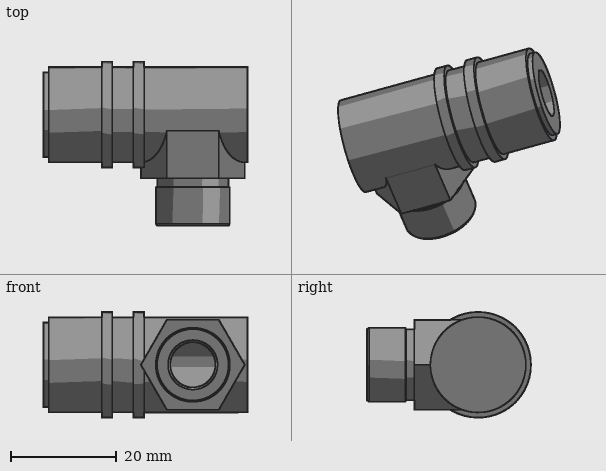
import cadquery as cq
import math


overall_length = 38.5
barrel_diameter = 18.0
flange_diameter = 20.0
flange_width = 2.0
flange_starts = [11.0, 16.98]
port_station = 28.2

sleeve_diameter = 16.0
sleeve_bore_diameter = 9.0
sleeve_protrusion = 0.95

hex_across_flats = 16.98
hex_face_distance = 12.0
neck_diameter = 13.48
neck_end_distance = 13.6
spigot_diameter = 14.0
spigot_end_distance = 21.0
spigot_shoulder_length = 0.15
spigot_chamfer_length = 0.42
spigot_chamfer_depth = 0.27

bore_diameter = 8.5
port_mouth_diameter = 9.35
countersink_depth = 0.25

open_end_x = -port_station
barrel_start_x = open_end_x + sleeve_protrusion
closed_end_x = open_end_x + overall_length

hex_across_corners = hex_across_flats / math.cos(math.pi / 6)

sleeve_end_x = open_end_x + flange_starts[0]


def axial_cylinder(diameter, start_x, end_x):
    """Cylinder on the barrel axis."""
    return cq.Workplane("YZ", origin=(start_x, 0, 0)).circle(diameter / 2).extrude(end_x - start_x)


def port_plane(distance):
    """Workplane facing -Y, at a distance from the barrel axis along the port."""
    return cq.Workplane("XZ", origin=(0, -distance, 0))


def make_barrel():
    barrel = axial_cylinder(barrel_diameter, barrel_start_x, closed_end_x)
    for start in flange_starts:
        flange_x = open_end_x + start
        barrel = barrel.union(axial_cylinder(flange_diameter, flange_x, flange_x + flange_width))
    return barrel


def make_port():
    """Hexagon, then a neck and a spigot with sloped ends, standing out from the barrel."""
    hexagon = port_plane(0).polygon(6, hex_across_corners).extrude(hex_face_distance)
    neck_radius = neck_diameter / 2
    spigot_radius = spigot_diameter / 2
    neck_and_spigot = (
        cq.Workplane("XY")
        .moveTo(0, -hex_face_distance)
        .lineTo(neck_radius, -hex_face_distance)
        .lineTo(neck_radius, -neck_end_distance)
        .lineTo(spigot_radius, -neck_end_distance - spigot_shoulder_length)
        .lineTo(spigot_radius, -spigot_end_distance + spigot_chamfer_length)
        .lineTo(spigot_radius - spigot_chamfer_depth, -spigot_end_distance)
        .lineTo(0, -spigot_end_distance)
        .close()
        .revolve(360, (0, 0, 0), (0, 1, 0))
    )
    return hexagon.union(neck_and_spigot)


def make_elbow_bore():
    """Round passage with a mitred corner, from the sleeve pocket to the port."""
    path = cq.Workplane("XY").polyline([(sleeve_end_x, 0), (0, 0), (0, -spigot_end_distance)])
    return (
        cq.Workplane("YZ", origin=(sleeve_end_x, 0, 0))
        .circle(bore_diameter / 2)
        .sweep(path, transition="right")
    )


def make_port_mouth():
    """Countersink at the open end of the port."""
    mouth_radius = port_mouth_diameter / 2
    cone = cq.Solid.makeCone(
        mouth_radius,
        bore_diameter / 2,
        countersink_depth,
        pnt=cq.Vector(0, -spigot_end_distance, 0),
        dir=cq.Vector(0, 1, 0),
    )
    return cq.Workplane(cone)


def make_housing():
    sleeve_pocket = axial_cylinder(sleeve_diameter, barrel_start_x, sleeve_end_x)
    return (
        make_barrel()
        .union(make_port())
        .cut(make_elbow_bore())
        .cut(make_port_mouth())
        .cut(sleeve_pocket)
    )


def make_sleeve():
    body = axial_cylinder(sleeve_diameter, open_end_x, sleeve_end_x)
    return body.cut(axial_cylinder(sleeve_bore_diameter, open_end_x, sleeve_end_x))


housing = make_housing()
sleeve = make_sleeve()

result = cq.Compound.makeCompound([housing.solids().val(), sleeve.solids().val()])